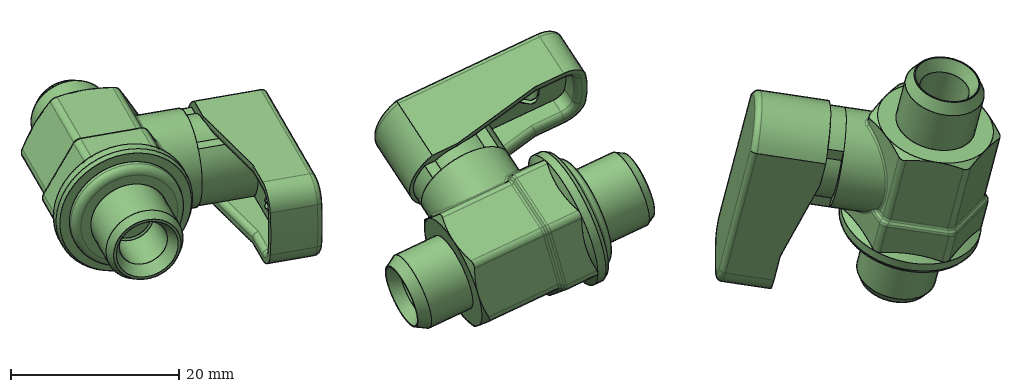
import cadquery as cq
import math

SPIGOT_R = 4.8
INLET_LENGTH = 7.0
INLET_BEVEL_LENGTH = 1.4
INLET_BEVEL_DEPTH = 0.8
OUTLET_BEVEL_LENGTH = 1.07
OUTLET_BEVEL_DEPTH = 0.6

SOCKET_MOUTH_R = 3.85
SOCKET_BORE_R = 2.98
SOCKET_FLOOR_R = 2.7
SOCKET_CONE_LENGTH = 1.5
SOCKET_FLOOR_CONE = 0.17

SMALL_HEX_FLATS = 14.0
LARGE_HEX_FLATS = 15.0
HEX_CORNER_R = 1.0
STEP_START_X = 17.05
STEP_END_X = 17.55
STEP_FILLET_R = 0.4
BEVEL_ANGLE = 30.0

FLANGE_R = 17.0 / 2
FLANGE_X = 21.9
FLANGE_RIM_END_X = 23.0
FLANGE_END_X = 23.52
FLANGE_BEVEL_DEPTH = 0.3

COLLAR_R = 7.0
COLLAR_END_X = 25.0
COLLAR_FILLET_R = 0.97
OUTLET_END_X = 32.03

STEM_X = 14.5
BOSS_R = 6.0
BOSS_TOP_Y = 10.5
BOSS_FILLET_R = 0.27

HANDLE_END_X = 33.5
HANDLE_TOP_Y = 21.5
HANDLE_HUB_END_Y = 12.45
HANDLE_TIP_Y = 14.9
HANDLE_SLOPE_END_X = 26.4
HANDLE_HALF_WIDTH = 5.53
HANDLE_HEEL_R = 6.5
HANDLE_CORNER_R = 3.0
HANDLE_EDGE_R = 0.75

RECESS_WALL = 0.7
RECESS_FLOOR_Y = 17.5
HUB_CORE_R = 5.02
HUB_EAR_HALF_WIDTH = 4.02

PIN_X = 26.95
PIN_HOLE_R = 1.55
PIN_R = 1.35
PIN_SEAT_DEPTH = 2.0
PIN_SHANK_OUT = 0.35
PIN_TIP_R = 0.5
PIN_TIP_OUT = 1.2
PIN_SLOT_WIDTH = 0.8
PIN_SLOT_DEPTH = 1.2

SELECT_MARGIN = 0.05


def turned(points):
    """Solid of revolution about X from (x, radius) points that start and end on the axis."""
    return cq.Workplane("XY").polyline(points).close().revolve(360, (0, 0, 0), (1, 0, 0))


def cylinder_along_y(x, radius, y_start, y_end):
    """Cylinder with its axis along Y at the given x, centred on z = 0."""
    plane = cq.Workplane("XZ", origin=(x, y_end, 0))
    return plane.circle(radius).extrude(y_end - y_start)


def hex_outline(flats, x):
    """Hexagon wire with rounded corners: flats face +Z and -Z, two corners point along Y."""
    corner_distance = flats / math.sqrt(3)
    angles = [math.radians(60 * i) for i in range(6)]
    points = [(corner_distance * math.cos(a), corner_distance * math.sin(a)) for a in angles]
    prism = cq.Workplane("YZ", origin=(x, 0, 0)).polyline(points).close().extrude(0.35)
    prism = prism.edges("|X").fillet(HEX_CORNER_R)
    return prism.faces("<X").wires().val()


def hex_prism(flats, x_start, x_end):
    """Rounded hexagonal bar along X."""
    wire = hex_outline(flats, x_start)
    return cq.Workplane(cq.Solid.extrudeLinear(wire, [], cq.Vector(x_end - x_start, 0, 0)))


def pipe_socket():
    """Blind socket that opens at x = 0 and runs toward +X."""
    return turned([
        (0, 0),
        (0, SOCKET_MOUTH_R),
        (SOCKET_CONE_LENGTH, SOCKET_BORE_R),
        (INLET_LENGTH - SOCKET_FLOOR_CONE, SOCKET_BORE_R),
        (INLET_LENGTH, SOCKET_FLOOR_R),
        (INLET_LENGTH, 0),
    ])


def hex_body():
    """Small hexagon growing through a tapered step into the large hexagon."""
    step = cq.Workplane(cq.Solid.makeLoft(
        [hex_outline(SMALL_HEX_FLATS, STEP_START_X), hex_outline(LARGE_HEX_FLATS, STEP_END_X)], True
    ))
    body = hex_prism(SMALL_HEX_FLATS, INLET_LENGTH, STEP_START_X)
    body = body.union(step).union(hex_prism(LARGE_HEX_FLATS, STEP_END_X, FLANGE_X))
    reach = 2 * FLANGE_R
    step_edges = cq.selectors.BoxSelector(
        (STEP_START_X - SELECT_MARGIN, -reach, -reach), (STEP_END_X + SELECT_MARGIN, reach, reach)
    )
    return body.edges(step_edges).edges("#X").fillet(STEP_FILLET_R)


def end_bevel_envelope():
    """Cone that trims the corners of the small hexagon at the inlet shoulder."""
    face_r = SMALL_HEX_FLATS / 2
    outer_r = LARGE_HEX_FLATS / math.sqrt(3)
    bevel_length = (outer_r - face_r) * math.tan(math.radians(BEVEL_ANGLE))
    return turned([
        (INLET_LENGTH, 0),
        (INLET_LENGTH, face_r),
        (INLET_LENGTH + bevel_length, outer_r),
        (FLANGE_X, outer_r),
        (FLANGE_X, 0),
    ])


def flange():
    """Round flange whose back is a cone that runs down onto the hexagon flats."""
    flat_r = LARGE_HEX_FLATS / 2
    cone_length = (FLANGE_R - flat_r) * math.tan(math.radians(BEVEL_ANGLE))
    return turned([
        (FLANGE_X - cone_length, 0),
        (FLANGE_X - cone_length, flat_r),
        (FLANGE_X, FLANGE_R),
        (FLANGE_RIM_END_X, FLANGE_R),
        (FLANGE_END_X, FLANGE_R - FLANGE_BEVEL_DEPTH),
        (FLANGE_END_X, 0),
    ])


def inlet_spigot():
    """Bevelled pipe end on the inlet side."""
    return turned([
        (0, 0),
        (0, SPIGOT_R - INLET_BEVEL_DEPTH),
        (INLET_BEVEL_LENGTH, SPIGOT_R),
        (INLET_LENGTH, SPIGOT_R),
        (INLET_LENGTH, 0),
    ])


def make_housing():
    """Hexagonal valve body with its stem boss, flange, inlet spigot and socket."""
    body = hex_body().intersect(end_bevel_envelope())
    body = body.union(cylinder_along_y(STEM_X, BOSS_R, 0, BOSS_TOP_Y))
    boss_middle = cq.selectors.BoxSelector(
        (STEM_X - BOSS_R / 2, 0, -BOSS_R / 2),
        (STEM_X + BOSS_R / 2, BOSS_TOP_Y - SELECT_MARGIN, BOSS_R / 2),
    )
    boss_side = body.faces("%CYLINDER").faces(boss_middle)
    body = boss_side.edges("not (%LINE or %CIRCLE)").fillet(BOSS_FILLET_R)
    return body.union(flange()).union(inlet_spigot()).cut(pipe_socket())


def make_outlet():
    """Collar and spigot that close the flanged end of the housing."""
    collar = turned([
        (FLANGE_END_X, 0),
        (FLANGE_END_X, COLLAR_R),
        (COLLAR_END_X, COLLAR_R),
        (COLLAR_END_X, 0),
    ])
    collar = collar.faces(">X").edges().fillet(COLLAR_FILLET_R)
    spigot = turned([
        (FLANGE_END_X, 0),
        (FLANGE_END_X, SPIGOT_R),
        (OUTLET_END_X - OUTLET_BEVEL_LENGTH, SPIGOT_R),
        (OUTLET_END_X, SPIGOT_R - OUTLET_BEVEL_DEPTH),
        (OUTLET_END_X, 0),
    ])
    socket = pipe_socket().mirror("YZ").translate((OUTLET_END_X, 0, 0))
    return collar.union(spigot).cut(socket)


def lever_outline(inset):
    """Lever plan, inset from its outer wall, extruded from the hub end to the top."""
    half_width = HANDLE_HALF_WIDTH - inset
    heel_r = HANDLE_HEEL_R - inset
    tip_r = HANDLE_END_X - STEM_X - inset
    heel_x = STEM_X - math.sqrt(heel_r**2 - half_width**2)
    tip_x = STEM_X + math.sqrt(tip_r**2 - half_width**2)
    lever = (
        cq.Workplane("XZ", origin=(0, HANDLE_TOP_Y, 0))
        .moveTo(heel_x, half_width)
        .threePointArc((STEM_X - heel_r, 0), (heel_x, -half_width))
        .lineTo(tip_x, -half_width)
        .threePointArc((STEM_X + tip_r, 0), (tip_x, half_width))
        .close()
        .extrude(HANDLE_TOP_Y - HANDLE_HUB_END_Y)
    )
    return lever.edges("|Y").edges(">X").fillet(HANDLE_CORNER_R - inset)


def underside_cut():
    """Space under the lever, from the hub along the slope to the tip."""
    return (
        cq.Workplane("XY", origin=(0, 0, -HANDLE_HALF_WIDTH))
        .polyline([
            (STEM_X, HANDLE_HUB_END_Y),
            (HANDLE_SLOPE_END_X, HANDLE_TIP_Y),
            (HANDLE_END_X, HANDLE_TIP_Y),
            (HANDLE_END_X, HANDLE_HUB_END_Y),
        ])
        .close()
        .extrude(2 * HANDLE_HALF_WIDTH)
    )


def recess():
    """Hollow in the underside between the hub and the tip, up to a flat floor."""
    hollow = lever_outline(RECESS_WALL + HANDLE_EDGE_R)
    solid_heel = cq.Workplane("XY").box(
        STEM_X, HANDLE_TOP_Y, 2 * HANDLE_HALF_WIDTH, centered=(False, False, True)
    )
    above_floor = cq.Workplane("XY", origin=(0, RECESS_FLOOR_Y, 0)).box(
        HANDLE_END_X, HANDLE_TOP_Y, 2 * HANDLE_HALF_WIDTH, centered=(False, False, True)
    )
    return hollow.cut(solid_heel).cut(above_floor)


def hub():
    """Round core with two ears along X that rests on the housing boss."""
    hub_top_y = HANDLE_TOP_Y - HANDLE_EDGE_R
    core = cylinder_along_y(STEM_X, HUB_CORE_R, BOSS_TOP_Y, hub_top_y)
    ears = cylinder_along_y(STEM_X, BOSS_R, BOSS_TOP_Y, hub_top_y)
    ear_band = cq.Workplane("XY", origin=(STEM_X, 0, 0)).box(
        2 * BOSS_R, 2 * HANDLE_TOP_Y, 2 * HUB_EAR_HALF_WIDTH
    )
    return core.union(ears.intersect(ear_band))


def make_handle():
    """Lever with a rounded top edge, a hollow underside, a pin hole and its hub."""
    lever = lever_outline(0).faces(">Y").edges().fillet(HANDLE_EDGE_R)
    lever = lever.cut(underside_cut()).cut(recess())
    recess_half_width = HANDLE_HALF_WIDTH - RECESS_WALL - HANDLE_EDGE_R
    recess_rim = cq.selectors.BoxSelector(
        (STEM_X + 0.35, HANDLE_HUB_END_Y, -recess_half_width - SELECT_MARGIN),
        (HANDLE_END_X - RECESS_WALL, HANDLE_TIP_Y + SELECT_MARGIN, recess_half_width + SELECT_MARGIN),
    )
    lever = lever.edges(recess_rim).fillet(HANDLE_EDGE_R)
    pin_hole = cylinder_along_y(PIN_X, PIN_HOLE_R, RECESS_FLOOR_Y, RECESS_FLOOR_Y + PIN_SEAT_DEPTH)
    return lever.cut(pin_hole).union(hub())


def make_pin():
    """Pointed pin standing in the recess floor, with a slot across its tip."""
    seat_y = RECESS_FLOOR_Y + PIN_SEAT_DEPTH
    tip_y = RECESS_FLOOR_Y - PIN_TIP_OUT
    pin = (
        cq.Workplane("XY")
        .polyline([
            (PIN_X, seat_y),
            (PIN_X + PIN_R, seat_y),
            (PIN_X + PIN_R, RECESS_FLOOR_Y - PIN_SHANK_OUT),
            (PIN_X + PIN_TIP_R, tip_y),
            (PIN_X, tip_y),
        ])
        .close()
        .revolve(360, (PIN_X, 0, 0), (PIN_X, 1, 0))
    )
    slot = cq.Workplane("XY", origin=(PIN_X, tip_y, 0)).box(
        2 * PIN_R, 2 * PIN_SLOT_DEPTH, PIN_SLOT_WIDTH
    )
    return pin.cut(slot)


housing = make_housing()
outlet = make_outlet()
handle = make_handle()
pin = make_pin()

result = cq.Compound.makeCompound([housing.val(), outlet.val(), handle.val(), pin.val()])